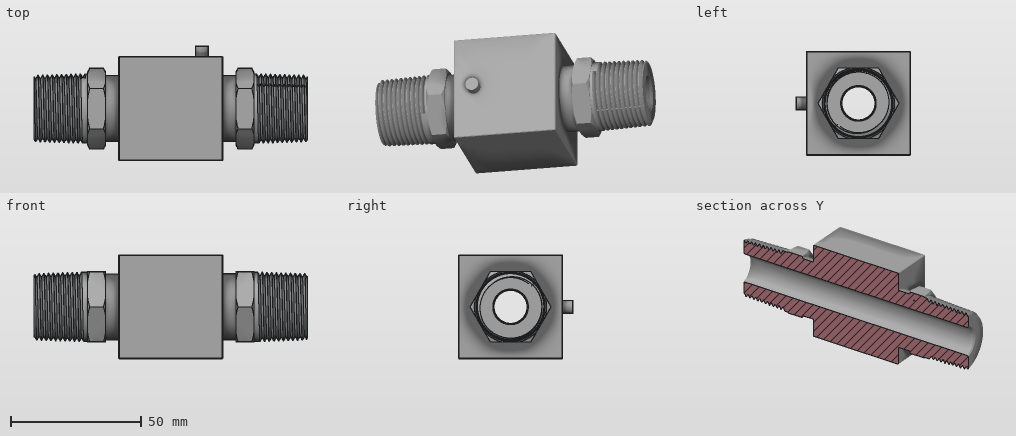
import cadquery as cq
import math

BODY_SIZE = 40.0
BODY_CHAMFER = 0.25

OVERALL_LENGTH = 105.2
END_X = OVERALL_LENGTH / 2

BORE_DIAMETER = 12.7
BORE_CHAMFER = 0.5

PIN_DIAMETER = 5.0
PIN_LENGTH = 4.0
PIN_X = 12.0

FITTING_LENGTH = END_X - BODY_SIZE / 2
NECK_DIAMETER = 25.5
NECK_LENGTH = 5.0
HEX_ACROSS_FLATS = 27.0
HEX_WIDTH = 7.0
HEX_FACE_DIAMETER = 27.8
HEX_CHAMFER_ANGLE = math.radians(27)
COLLAR_DIAMETER = 26.67

INCH = 25.4
THREADS_PER_INCH = 14
PITCH = INCH / THREADS_PER_INCH
TAPER = 1 / 32
TAPER_ANGLE = math.degrees(math.atan(TAPER))
CREST_RADIUS_AT_END = 12.77
CREST_FLAT = 0.08
FLANK_ANGLE = math.radians(30)
GROOVE_OVERSHOOT = 0.8
THREAD_END_CHAMFER = 0.75
GROOVE_START_ANGLE = 45
FIRST_GROOVE = 0.42
LEAD_IN_TURNS = 1
TURNS_BELOW_END_FACE = 10.2
THREAD_TURNS = LEAD_IN_TURNS + TURNS_BELOW_END_FACE


def make_body():
    return cq.Workplane("XY").box(BODY_SIZE, BODY_SIZE, BODY_SIZE).edges().chamfer(BODY_CHAMFER)


def make_pin():
    pin = cq.Workplane("XZ", origin=(PIN_X, BODY_SIZE / 2, 0)).circle(PIN_DIAMETER / 2)
    return pin.extrude(-PIN_LENGTH)


def make_hexagon():
    """Hexagon along +Z from the origin, corners on the Y axis, both ends chamfered."""
    face_radius = HEX_FACE_DIAMETER / 2
    corner_radius = HEX_ACROSS_FLATS / 2 / math.cos(math.radians(30))
    drop = (corner_radius - face_radius) * math.tan(HEX_CHAMFER_ANGLE)
    prism = cq.Workplane("XY").polygon(6, 2 * corner_radius).extrude(HEX_WIDTH)
    prism = prism.rotate((0, 0, 0), (0, 0, 1), 90)
    envelope = (
        cq.Workplane("XZ")
        .polyline([
            (0, 0),
            (face_radius, 0),
            (corner_radius, drop),
            (corner_radius, HEX_WIDTH - drop),
            (face_radius, HEX_WIDTH),
            (0, HEX_WIDTH),
        ])
        .close()
        .revolve(360, (0, 0, 0), (0, 1, 0))
    )
    return prism.intersect(envelope)


def make_groove_turn(start_z, turns):
    """V groove on a tapered helix about +Z, starting at start_z; the end face is at Z = 0."""
    crest_radius = CREST_RADIUS_AT_END + start_z * TAPER
    half_width = (PITCH - CREST_FLAT) / 2
    root_radius = crest_radius - half_width / math.tan(FLANK_ANGLE)
    outer_radius = crest_radius + GROOVE_OVERSHOOT
    helix = cq.Wire.makeHelix(PITCH, turns * PITCH, crest_radius, angle=TAPER_ANGLE)
    groove = (
        cq.Workplane("XZ")
        .polyline([
            (root_radius, 0),
            (crest_radius, half_width),
            (outer_radius, half_width),
            (outer_radius, -half_width),
            (crest_radius, -half_width),
        ])
        .close()
        .sweep(cq.Workplane(obj=helix), isFrenet=True)
    )
    return groove.rotate((0, 0, 0), (0, 0, 1), GROOVE_START_ANGLE).translate((0, 0, start_z))


def cut_thread(blank):
    """Cut the groove turn by turn, from just outside the end face to its stop at the collar."""
    for turn in range(math.ceil(THREAD_TURNS)):
        start_z = FIRST_GROOVE + (turn - LEAD_IN_TURNS) * PITCH
        turns = min(1, THREAD_TURNS - turn)
        blank = blank.cut(make_groove_turn(start_z, turns))
    return blank


def make_fitting():
    """Fitting about +Z with its thread end face at Z = 0 and its neck at the far end."""
    hex_start = FITTING_LENGTH - NECK_LENGTH - HEX_WIDTH
    collar_radius = COLLAR_DIAMETER / 2
    taper_length = (collar_radius - CREST_RADIUS_AT_END) / TAPER
    chamfer_radius = CREST_RADIUS_AT_END + THREAD_END_CHAMFER * TAPER
    blank = (
        cq.Workplane("XZ")
        .polyline([
            (0, 0),
            (CREST_RADIUS_AT_END - THREAD_END_CHAMFER, 0),
            (chamfer_radius, THREAD_END_CHAMFER),
            (collar_radius, taper_length),
            (collar_radius, hex_start),
            (0, hex_start),
        ])
        .close()
        .revolve(360, (0, 0, 0), (0, 1, 0))
    )
    threaded = cut_thread(blank)
    neck = cq.Workplane("XY", origin=(0, 0, hex_start + HEX_WIDTH)).circle(NECK_DIAMETER / 2)
    hexagon = make_hexagon().translate((0, 0, hex_start))
    return threaded.union(hexagon).union(neck.extrude(NECK_LENGTH))


def make_bore():
    radius = BORE_DIAMETER / 2
    return (
        cq.Workplane("XY")
        .polyline([
            (-END_X, 0),
            (-END_X, radius + BORE_CHAMFER),
            (-END_X + BORE_CHAMFER, radius),
            (END_X - BORE_CHAMFER, radius),
            (END_X, radius + BORE_CHAMFER),
            (END_X, 0),
        ])
        .close()
        .revolve(360, (0, 0, 0), (1, 0, 0))
    )


left_fitting = make_fitting().rotate((0, 0, 0), (0, 1, 0), 90).translate((-END_X, 0, 0))
right_fitting = left_fitting.rotate((0, 0, 0), (0, 1, 0), 180)

result = make_body().union(make_pin()).union(left_fitting).union(right_fitting).cut(make_bore())